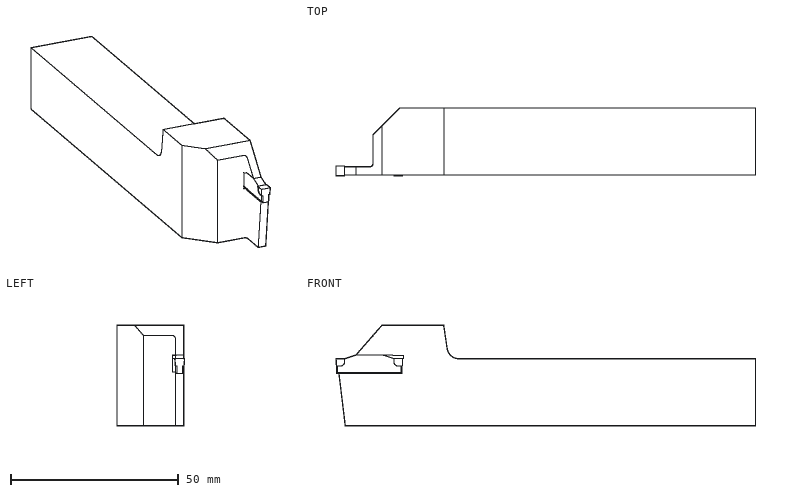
import cadquery as cq
import math

length = 125.0
width = 20.0
shank_height = 20.0
head_height = 30.0
toe_x = 2.8
blade_front_x = 0.9
head_top_front_x = 13.8
head_top_rear_x = 32.1
head_rear_angle = 8.5
head_rear_fillet = 3.5

blade_thickness = 2.5
head_front_x = 11.0
blade_root_fillet = 0.9
head_corner_chamfer = 8.0

insert_length = 19.9
insert_bottom_z = 15.5
edge_z = shank_height
crown_z = 21.1
crown_inset = 6.0
insert_chamfer = 0.4
front_relief = 0.1

pad_length = 2.6
pad_bottom_z = 17.8
pad_radius = 1.4
pad_overhang = 0.2
pad_bottom_overhang = 0.06

pocket_depth = blade_thickness + blade_root_fillet
pocket_rear_x = 20.1
pocket_rear_z = 20.9
clearance_floor_z = 16.0


def prism(points, y_start, y_end):
    """Extrude an XZ outline from y_start to y_end."""
    return (
        cq.Workplane("XZ", origin=(0, y_start, 0))
        .polyline(points)
        .close()
        .extrude(y_start - y_end)
    )


def insert_outline():
    """Outline of the insert body in the XZ plane, without the tips of the pads."""
    rear_x = insert_length - front_relief
    return [
        (front_relief, insert_bottom_z),
        (front_relief, edge_z),
        (pad_length, edge_z),
        (crown_inset, crown_z),
        (insert_length - crown_inset, crown_z),
        (insert_length - pad_length, edge_z),
        (rear_x, edge_z),
        (rear_x, insert_bottom_z),
    ]


def make_pad_blank():
    """Front tip pad with a rounded lower inner corner, before side relief."""
    arc_center = (pad_length - pad_radius, pad_bottom_z + pad_radius)
    arc_reach = pad_radius * math.sqrt(0.5)
    return (
        cq.Workplane("XZ", origin=(0, -pad_overhang, 0))
        .moveTo(0, edge_z)
        .lineTo(pad_length, edge_z)
        .lineTo(pad_length, arc_center[1])
        .threePointArc(
            (arc_center[0] + arc_reach, arc_center[1] - arc_reach),
            (arc_center[0], pad_bottom_z),
        )
        .lineTo(front_relief, pad_bottom_z)
        .close()
        .extrude(-(blade_thickness + 2 * pad_overhang))
    )


def make_insert():
    body = prism(insert_outline(), 0, blade_thickness)

    body = body.faces("<Z or <X or >X").edges("<Y or >Y").chamfer(insert_chamfer)

    relief_envelope = (
        cq.Workplane("YZ")
        .polyline([
            (-pad_overhang, edge_z),
            (blade_thickness + pad_overhang, edge_z),
            (blade_thickness + pad_bottom_overhang, pad_bottom_z),
            (-pad_bottom_overhang, pad_bottom_z),
        ])
        .close()
        .extrude(insert_length)
    )
    front_pad = make_pad_blank().intersect(relief_envelope)
    rear_pad = front_pad.mirror("YZ", (insert_length / 2, 0, 0))
    return body.union(front_pad).union(rear_pad)


def make_holder_blank():
    """Full-width side profile of the shank and head."""
    rear_run = (head_height - shank_height) * math.tan(math.radians(head_rear_angle))
    head_base_x = head_top_rear_x + rear_run
    profile = [
        (toe_x, 0),
        (length, 0),
        (length, shank_height),
        (head_base_x, shank_height),
        (head_top_rear_x, head_height),
        (head_top_front_x, head_height),
        (crown_inset, crown_z),
        (blade_front_x, insert_bottom_z),
    ]
    head_base = cq.selectors.NearestToPointSelector((head_base_x, width / 2, shank_height))
    return prism(profile, 0, width).edges("|Y").edges(head_base).fillet(head_rear_fillet)


def make_blade_relief():
    """Material removed behind the blade and across the head corner."""
    chamfer_end_x = head_front_x + head_corner_chamfer
    return (
        cq.Workplane("XY")
        .moveTo(0, blade_thickness)
        .lineTo(head_front_x - blade_root_fillet, blade_thickness)
        .radiusArc((head_front_x, blade_thickness + blade_root_fillet), -blade_root_fillet)
        .lineTo(head_front_x, width - head_corner_chamfer)
        .lineTo(chamfer_end_x, width)
        .lineTo(0, width)
        .close()
        .extrude(head_height)
    )


def make_pocket():
    """Insert seat, with clearance above its rear tip and behind its inner side."""
    roof = [
        (insert_length, edge_z),
        (pocket_rear_x, edge_z),
        (pocket_rear_x, pocket_rear_z),
        (insert_length - crown_inset, crown_z),
        (crown_inset, crown_z),
        (0, crown_z),
        (0, edge_z),
    ]
    seat_rear_x = insert_length - front_relief
    seat_base = [(0, insert_bottom_z), (seat_rear_x, insert_bottom_z), (seat_rear_x, pad_bottom_z)]
    seat = prism(seat_base + roof, 0, blade_thickness)
    clearance_base = [(0, clearance_floor_z), (seat_rear_x, clearance_floor_z), (seat_rear_x, pad_bottom_z)]
    clearance = prism(clearance_base + roof, blade_thickness, pocket_depth)
    return seat.union(clearance)


insert = make_insert()
holder = make_holder_blank().cut(make_blade_relief()).cut(make_pocket())

result = cq.Compound.makeCompound([holder.val(), insert.val()])